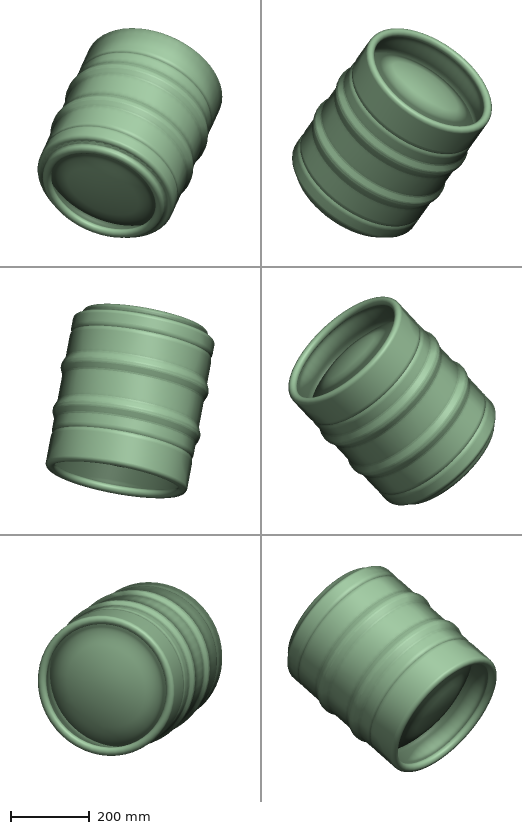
import cadquery as cq
import math

length = 420.5
front_y = -length / 2
back_y = length / 2

body_radius = 365.0 / 2
sheet_thickness = 1.9
skirt_inner_radius = body_radius - sheet_thickness

bead_tube_radius = 11.0
front_bead_radius = 151.0
back_bead_radius = body_radius - bead_tube_radius
front_bead_y = front_y + bead_tube_radius
back_bead_y = back_y - bead_tube_radius

corner_radius = 11.0
shoulder_edge_radius = body_radius - corner_radius
neck_outer_start = front_bead_radius + bead_tube_radius
neck_radius = shoulder_edge_radius - neck_outer_start
shoulder_y = front_bead_y + neck_radius
front_wall_y = shoulder_y + corner_radius

front_groove_y = front_y + 65.0
back_groove_y = front_y + 331.0
groove_half_width = 11.0
groove_depth = 3.5
lip_radius = (groove_half_width**2 + groove_depth**2) / (2 * groove_depth)

dome_edge_radius = skirt_inner_radius - groove_depth
dome_rise = 47.0
dome_sphere_radius = (dome_edge_radius**2 + dome_rise**2) / (2 * dome_rise)

ridge_radius = 380.0 / 2
ridge_crest_width = 10.5
ridge_base_width = 45.0
ridge_fillet = 10.0
ridge_positions = (front_y + 156.0, front_y + 271.0)


def revolve(profile):
    return profile.revolve(360, (0, 0, 0), (0, 1, 0))


def dome_middle(groove_y, outward):
    """Point on a dome halfway out to its edge; outward is -1 at the front, 1 at the back."""
    radius = dome_edge_radius / 2
    height = math.sqrt(dome_sphere_radius**2 - radius**2) - (dome_sphere_radius - dome_rise)
    return (radius, groove_y + outward * height)


def lip_middle(wall_radius, groove_y, outward):
    """Middle of the arc that curls from a straight wall in to a groove."""
    half_angle = math.asin(groove_half_width / lip_radius) / 2
    radius = wall_radius - lip_radius * (1 - math.cos(half_angle))
    return (radius, groove_y + outward * (groove_half_width - lip_radius * math.sin(half_angle)))


def arc_middle(center_radius, center_y, arc_radius, radius_sign, y_sign):
    """Middle of a quarter arc lying in the given diagonal direction."""
    reach = arc_radius * math.cos(math.radians(45))
    return (center_radius + radius_sign * reach, center_y + y_sign * reach)


def make_shell():
    """Vessel and both skirts with a plain outer wall and no beads."""
    neck_inner_radius = neck_radius + sheet_thickness
    corner_inner_radius = corner_radius - sheet_thickness
    corner_center = (shoulder_edge_radius, front_wall_y)
    neck_center = (shoulder_edge_radius, front_bead_y)
    profile = (
        cq.Workplane("XY")
        .moveTo(0, front_groove_y - dome_rise)
        .threePointArc(dome_middle(front_groove_y, -1), (dome_edge_radius, front_groove_y))
        .threePointArc(
            lip_middle(skirt_inner_radius, front_groove_y, -1),
            (skirt_inner_radius, front_groove_y - groove_half_width),
        )
        .lineTo(skirt_inner_radius, front_wall_y)
        .threePointArc(
            arc_middle(*corner_center, corner_inner_radius, 1, -1),
            (shoulder_edge_radius, shoulder_y + sheet_thickness),
        )
        .threePointArc(
            arc_middle(*neck_center, neck_inner_radius, -1, 1),
            (neck_outer_start - sheet_thickness, front_bead_y),
        )
        .lineTo(neck_outer_start, front_bead_y)
        .threePointArc(
            arc_middle(*neck_center, neck_radius, -1, 1),
            (shoulder_edge_radius, shoulder_y),
        )
        .threePointArc(
            arc_middle(*corner_center, corner_radius, 1, -1),
            (body_radius, front_wall_y),
        )
        .lineTo(body_radius, back_bead_y)
        .lineTo(skirt_inner_radius, back_bead_y)
        .lineTo(skirt_inner_radius, back_groove_y + groove_half_width)
        .threePointArc(
            lip_middle(skirt_inner_radius, back_groove_y, 1),
            (dome_edge_radius, back_groove_y),
        )
        .threePointArc(dome_middle(back_groove_y, 1), (0, back_groove_y + dome_rise))
        .close()
    )
    return revolve(profile)


def make_bead(center_radius, center_y):
    center = cq.Vector(0, center_y, 0)
    axis = cq.Vector(0, 1, 0)
    return cq.Workplane(cq.Solid.makeTorus(center_radius, bead_tube_radius, center, axis))


def add_ridge(keg, center_y):
    """Add one trapezoidal ridge and round its crest and base edges."""
    half_base = ridge_base_width / 2
    half_crest = ridge_crest_width / 2
    core_radius = body_radius / 2
    ridge = revolve(
        cq.Workplane("XY").polyline([
            (core_radius, center_y - half_base),
            (body_radius, center_y - half_base),
            (ridge_radius, center_y - half_crest),
            (ridge_radius, center_y + half_crest),
            (body_radius, center_y + half_base),
            (core_radius, center_y + half_base),
        ]).close()
    )
    margin = 0.5
    ridge_zone = cq.selectors.BoxSelector(
        (-length, center_y - half_base - margin, -length),
        (length, center_y + half_base + margin, length),
    )
    return keg.union(ridge).edges(ridge_zone).edges("%CIRCLE").fillet(ridge_fillet)


def cut_groove(keg, center_y):
    """Cut one groove whose two convex sides meet in a sharp bottom edge."""
    groove = revolve(
        cq.Workplane("XY")
        .moveTo(body_radius, center_y - groove_half_width)
        .threePointArc(lip_middle(body_radius, center_y, -1), (body_radius - groove_depth, center_y))
        .threePointArc(
            lip_middle(body_radius, center_y, 1),
            (body_radius, center_y + groove_half_width),
        )
        .close()
    )
    return keg.cut(groove)


def make_keg():
    keg = make_shell()
    for position in ridge_positions:
        keg = add_ridge(keg, position)
    for groove_y in (front_groove_y, back_groove_y):
        keg = cut_groove(keg, groove_y)
    keg = keg.union(make_bead(front_bead_radius, front_bead_y))
    return keg.union(make_bead(back_bead_radius, back_bead_y))


keg = make_keg()
result = cq.Compound.makeCompound([keg.solids().val()])